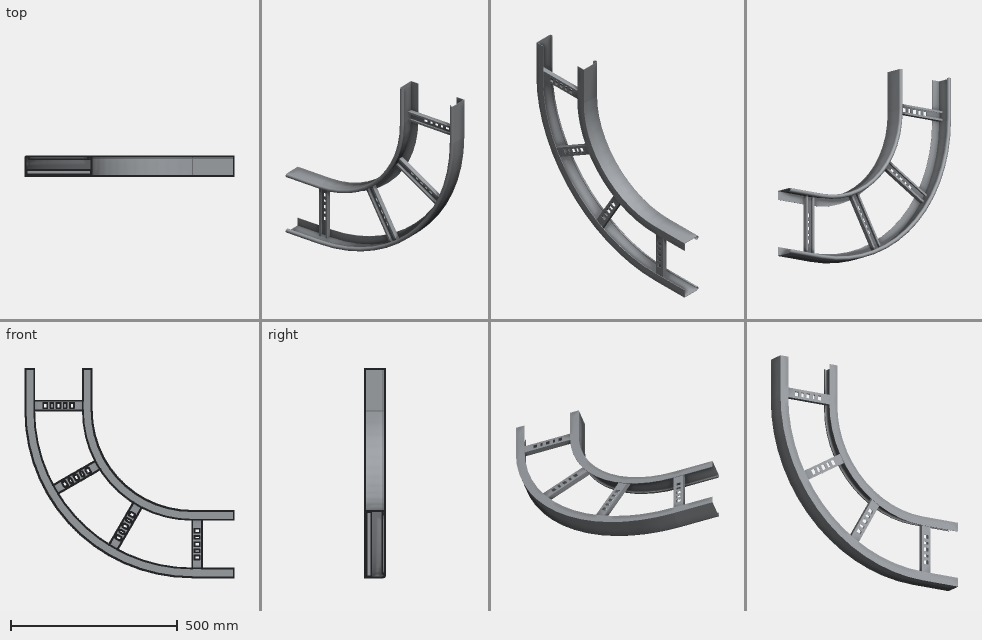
import cadquery as cq
import math


outer_radius = 500.0
tray_width = 200.0
inner_radius = outer_radius - tray_width
middle_radius = (outer_radius + inner_radius) / 2
leg_length = 125.0
bend_angle = 90.0

rail_height = 60.0
flange_width = 27.5
sheet = 1.5
lip_width = 12.5
lip_radius = lip_width / 2
lip_depth = 9.0

rung_length = 192.0
rung_width = 30.0
rung_height = 15.0
rung_lip = 6.0
rung_front = 4.5
rung_angles = (bend_angle / 3, 2 * bend_angle / 3)
rung_sheet = 1.0
slot_pitch = 20.0
slot_height = 15.0
wide_slot = 11.0
narrow_slot = 7.5
slot_widths = (wide_slot, narrow_slot, wide_slot, narrow_slot, wide_slot)


def rotate_in_bend(body, angle):
    """Turn a body about the bend axis, carrying -X towards -Z."""
    return body.rotate((0, 0, 0), (0, 1, 0), -angle)


def rail_section(web_radius, inward):
    """Rail cross-section at the start of the bend; inward is the X direction into the tray."""

    def at(depth, y):
        return (-web_radius + inward * depth, y)

    lip_start = rail_height - lip_radius
    lip_edge = rail_height - lip_depth
    inner_lip_radius = lip_radius - sheet
    swing = math.sqrt(0.5)

    def lip_point(radius, across, back):
        """Point on the curl; across and back are its offsets from the centre, in radii."""
        return at(lip_radius + radius * across, lip_start + radius * back)

    return (
        cq.Workplane("XY")
        .moveTo(*at(0, 0))
        .lineTo(*at(flange_width, 0))
        .lineTo(*at(flange_width, sheet))
        .lineTo(*at(sheet, sheet))
        .lineTo(*lip_point(inner_lip_radius, -1, 0))
        .threePointArc(lip_point(inner_lip_radius, -swing, swing), lip_point(inner_lip_radius, 0, 1))
        .threePointArc(lip_point(inner_lip_radius, swing, swing), lip_point(inner_lip_radius, 1, 0))
        .lineTo(*at(lip_width - sheet, lip_edge))
        .lineTo(*at(lip_width, lip_edge))
        .lineTo(*lip_point(lip_radius, 1, 0))
        .threePointArc(lip_point(lip_radius, swing, swing), lip_point(lip_radius, 0, 1))
        .threePointArc(lip_point(lip_radius, -swing, swing), lip_point(lip_radius, -1, 0))
        .close()
    )


def rail(web_radius, inward):
    """Quarter-circle rail with a straight leg at each end."""
    upright_leg = rail_section(web_radius, inward).extrude(leg_length)
    bend = rail_section(web_radius, inward).revolve(bend_angle, (0, 0, 0), (0, -1, 0))
    level_leg = rotate_in_bend(rail_section(web_radius, inward).extrude(-leg_length), bend_angle)
    return upright_leg.union(bend).union(level_leg)


def rung():
    """Slotted channel across the tray on the -X side, open to the rear between its lips."""
    channel = (
        cq.Workplane("XY")
        .box(rung_length, rung_height, rung_width, centered=(True, False, True))
        .cut(rung_space(rung_width - 2 * rung_sheet, rung_height - 2 * rung_sheet))
        .cut(rung_space(rung_width - 2 * rung_lip, rung_height))
    )
    for index, slot_width in enumerate(slot_widths):
        slot_x = (index - (len(slot_widths) - 1) / 2) * slot_pitch
        slot = cq.Workplane("XY").box(slot_width, 2 * rung_sheet, slot_height)
        channel = channel.cut(slot.translate((slot_x, rung_sheet / 2, 0)))
    return channel.translate((-middle_radius, rung_front, 0))


def rung_space(width, height):
    """Cutter along a rung, starting behind its slotted face."""
    space = cq.Workplane("XY").box(rung_length, height, width, centered=(True, False, True))
    return space.translate((0, rung_sheet, 0))


outer_rail = rail(outer_radius, 1)
inner_rail = rail(inner_radius, -1)

upright_leg_rung = rung().translate((0, 0, rung_width / 2))
level_leg_rung = rotate_in_bend(upright_leg_rung.mirror("XY"), bend_angle)
bend_rungs = [rotate_in_bend(rung(), angle) for angle in rung_angles]

result = cq.Compound.makeCompound(
    [
        outer_rail.val(),
        inner_rail.val(),
        upright_leg_rung.val(),
        level_leg_rung.val(),
        *[rung_body.val() for rung_body in bend_rungs],
    ]
)